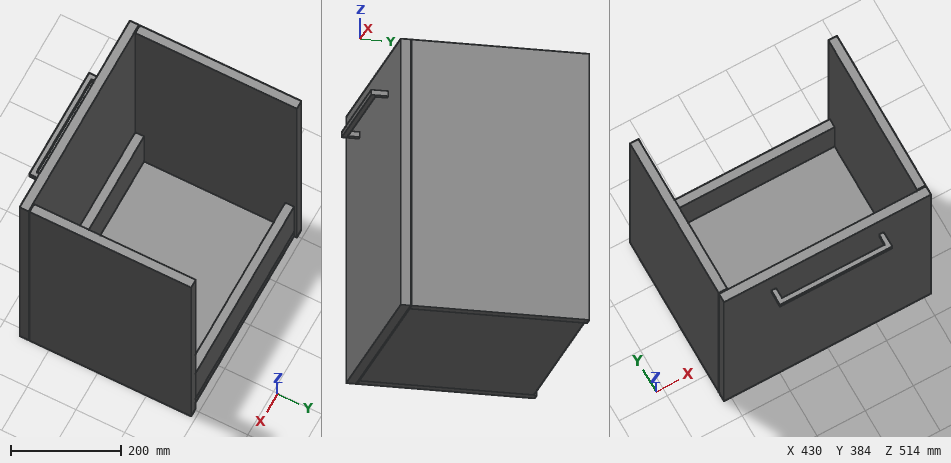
import cadquery as cq

width = 430.0
height = 514.0
overall_depth = 384.0

board = 18.0
door_thickness = 18.5
door_gap = 2.0
back_inset = 5.5
rail_height = 100.0

handle_width = 233.5
handle_projection = 32.0
handle_bar = 10.0
handle_drop = 67.0

door_front_y = -door_gap - door_thickness
side_depth = overall_depth + door_front_y - handle_projection
inner_width = width - 2 * board
floor_depth = side_depth - back_inset


def board_box(size_x, size_y, size_z, front_y, bottom_z, center_x=0):
    """Upright box given by its front face, bottom face and X centre."""
    return (
        cq.Workplane("XY")
        .box(size_x, size_y, size_z, centered=(True, False, False))
        .translate((center_x, front_y, bottom_z))
    )


def make_side(direction):
    """Full-height side panel; direction is -1 or +1 along X."""
    return board_box(board, side_depth, height, 0, 0, direction * (width - board) / 2)


def make_rail(front_y):
    """Low cross rail standing on the floor between the sides."""
    return board_box(inner_width, board, rail_height, front_y, board)


def make_floor():
    """Bottom board between the sides, under both rails."""
    return board_box(inner_width, floor_depth, board, 0, 0)


def make_door():
    """Front panel covering the whole carcass front, just clear of it."""
    return board_box(width, door_thickness, height, door_front_y, 0)


def make_handle():
    """U-shaped handle whose two legs end on the door face."""
    front_y = door_front_y - handle_projection
    bottom_z = height - handle_drop - handle_bar
    block = board_box(handle_width, handle_projection, handle_bar, front_y, bottom_z)
    finger_opening = board_box(
        handle_width - 2 * handle_bar,
        handle_projection - handle_bar,
        handle_bar,
        front_y + handle_bar,
        bottom_z,
    )
    return block.cut(finger_opening)


sides = [make_side(direction).val() for direction in (-1, 1)]
rails = [make_rail(front_y).val() for front_y in (0, floor_depth - board)]
floor = make_floor()
door = make_door()
handle = make_handle()

result = cq.Compound.makeCompound([*sides, *rails, floor.val(), door.val(), handle.val()])